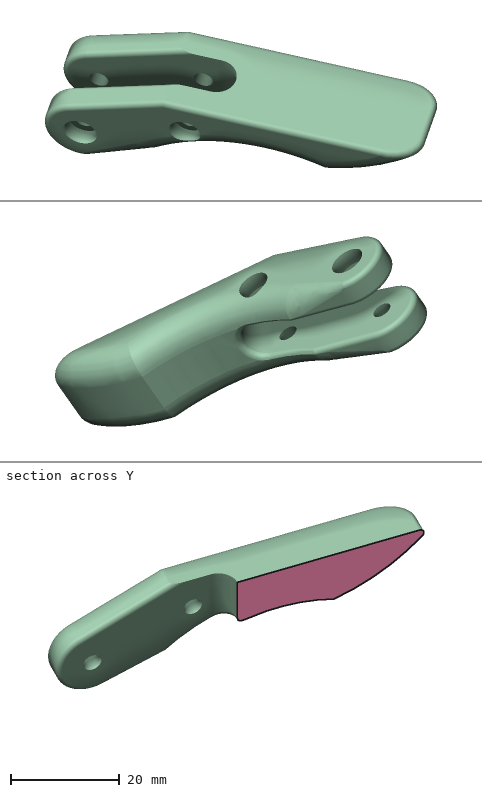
import math

import cadquery as cq

width = 18.0
pivot_radius = 7.0
top_height = 14.0
top_corner_x = 15.7

underside_angle = math.radians(17.5)
hollow_start_x = 14.8
hollow_crown = (35.3, 4.37)
heel = (46.55, 2.4)
bulge_middle = (55.8, 5.95)
sharp_tip_x = 65.83

slot_width = 7.5
slot_end_x = 27.3

edge_radius = 1.0
grip_radius = 5.0
taper_lead = 1.4
cutter_margin = 1.0
cutter_overrun = 4.0

pin_hole_diameter = 3.6
counterbore_depth = 3.0
pin_holes = [((0.0, 0.0), 6.4), ((20.0, 7.0), 6.0)]

half_width = width / 2
tolerance = 1e-3
top_corner = (top_corner_x, top_height)
tip = (sharp_tip_x, top_height)


def round_point(angle):
    """Point on the pivot round at an angle from +X."""
    return (pivot_radius * math.cos(angle), pivot_radius * math.sin(angle))


corner_angle = math.atan2(top_height, top_corner_x)
corner_distance = math.hypot(top_corner_x, top_height)
slope_start = round_point(corner_angle + math.acos(pivot_radius / corner_distance))

underside_start = round_point(underside_angle - math.pi / 2)
hollow_start_z = underside_start[1] + (hollow_start_x - underside_start[0]) * math.tan(underside_angle)
hollow_start = (hollow_start_x, hollow_start_z)


def circle_centre(a, b, c):
    """Centre of the circle through three points."""
    bx = b[0] - a[0]
    bz = b[1] - a[1]
    cx = c[0] - a[0]
    cz = c[1] - a[1]
    cross = 2 * (bx * cz - bz * cx)
    b_square = bx**2 + bz**2
    c_square = cx**2 + cz**2
    return (
        a[0] + (cz * b_square - bz * c_square) / cross,
        a[1] + (bx * c_square - cx * b_square) / cross,
    )


def lever_blank():
    """Side profile extruded over the full width, with sharp edges."""
    profile = (
        cq.Workplane("XZ", origin=(0, half_width, 0))
        .moveTo(*slope_start)
        .lineTo(*top_corner)
        .lineTo(*tip)
        .threePointArc(bulge_middle, heel)
        .threePointArc(hollow_crown, hollow_start)
        .lineTo(*underside_start)
        .threePointArc((-pivot_radius, 0), slope_start)
        .close()
    )
    return profile.extrude(width)


def corner_section(point, travel_angle, radius):
    """Waste outside a rounded +Y edge, square to an edge that runs at travel_angle with material on its left.

    Local x is depth into the material and local y is along +Y.
    """
    depth_direction = (-math.sin(travel_angle), 0, math.cos(travel_angle))
    normal = (-math.cos(travel_angle), 0, -math.sin(travel_angle))
    plane = cq.Plane(origin=(point[0], half_width, point[1]), xDir=depth_direction, normal=normal)
    arc_middle = radius * (1 - math.sqrt(0.5))
    return (
        cq.Workplane(plane)
        .moveTo(radius, 0)
        .threePointArc((arc_middle, -arc_middle), (0, -radius))
        .lineTo(-cutter_margin, -radius)
        .lineTo(-cutter_margin, cutter_margin)
        .lineTo(radius, cutter_margin)
        .close()
    )


def straight_cutter(start, end, start_radius, end_radius):
    """Waste along a straight edge whose rounding changes evenly from one end to the other."""
    travel_angle = math.atan2(end[1] - start[1], end[0] - start[0])
    first = corner_section(start, travel_angle, start_radius).wire().val()
    last = corner_section(end, travel_angle, end_radius).wire().val()
    return cq.Workplane(cq.Solid.makeLoft([first, last], True))


def arc_cutter(start, end, centre, radius, anticlockwise, overrun=0.0):
    """Waste along an arc edge, carried past both ends by an overrun length."""
    arc_radius = math.dist(start, centre)
    turn = 1 if anticlockwise else -1
    start_angle = math.atan2(start[1] - centre[1], start[0] - centre[0])
    end_angle = math.atan2(end[1] - centre[1], end[0] - centre[0])
    swept = turn * (end_angle - start_angle) % math.tau + 2 * overrun / arc_radius
    first_angle = start_angle - turn * overrun / arc_radius
    first_point = (
        centre[0] + arc_radius * math.cos(first_angle),
        centre[1] + arc_radius * math.sin(first_angle),
    )
    section = corner_section(first_point, first_angle + turn * math.pi / 2, radius).wire().val()
    axis_start = cq.Vector(centre[0], 0, centre[1])
    axis_end = axis_start - cq.Vector(0, turn, 0)
    return cq.Workplane(cq.Solid.revolve(section, [], math.degrees(swept), axis_start, axis_end))


def along(start, end, distance):
    """Point on the line from start to end, at a distance from start."""
    share = distance / math.dist(start, end)
    return (start[0] + share * (end[0] - start[0]), start[1] + share * (end[1] - start[1]))


def cut_both_sides(body, cutter):
    """Cut the +Y edge and its mirror image."""
    return body.cut(cutter).cut(cutter.mirror("XZ"))


def round_grip_edges(body):
    """Large rounding along the finger arcs, tapering off towards the pivot round."""
    hollow_centre = circle_centre(hollow_start, hollow_crown, heel)
    bulge_centre = circle_centre(heel, bulge_middle, tip)
    hollow_cutter = arc_cutter(hollow_start, heel, hollow_centre, grip_radius, False, cutter_overrun)
    bulge_cutter = arc_cutter(heel, tip, bulge_centre, grip_radius, True, cutter_overrun)
    body = cut_both_sides(body, hollow_cutter)
    body = cut_both_sides(body, bulge_cutter)

    taper_start = along(underside_start, hollow_start, -taper_lead)
    run_length = math.dist(taper_start, hollow_start)
    taper_end = along(taper_start, hollow_start, run_length + cutter_overrun)
    growth = (grip_radius - edge_radius) / run_length
    end_radius = grip_radius + growth * cutter_overrun
    return cut_both_sides(body, straight_cutter(taper_start, taper_end, edge_radius, end_radius))


def round_top_edges(body):
    """Small rounding along the sides of the flat top and around the tip."""
    top_edges = cq.selectors.BoxSelector(
        (top_corner_x + tolerance, -width, top_height - tolerance),
        (sharp_tip_x + tolerance, width, top_height + tolerance),
    )
    return body.edges(top_edges).fillet(edge_radius)


def round_pivot_edges(body):
    """Small rounding on the outer edges of the upper slope and the pivot round."""
    slope_end = along(slope_start, top_corner, math.dist(slope_start, top_corner) + cutter_margin)
    slope_cutter = straight_cutter(slope_end, slope_start, edge_radius, edge_radius)
    body = cut_both_sides(body, slope_cutter)
    return cut_both_sides(body, arc_cutter(slope_start, underside_start, (0, 0), edge_radius, True))


def slot_waste(blank):
    """Slot with a round end, plus the rounding of the arms' inner edges."""
    slot_radius = slot_width / 2
    slot_centre_x = slot_end_x - slot_radius
    start_x = -pivot_radius - cutter_margin
    bottom_z = -pivot_radius - cutter_margin
    slot = (
        cq.Workplane("XY", origin=(0, 0, bottom_z))
        .moveTo(start_x, -slot_radius)
        .lineTo(slot_centre_x, -slot_radius)
        .threePointArc((slot_end_x, 0), (slot_centre_x, slot_radius))
        .lineTo(start_x, slot_radius)
        .close()
        .extrude(top_height + cutter_margin - bottom_z)
    )
    near_slot = cq.selectors.BoxSelector(
        (start_x, -slot_radius - tolerance, bottom_z),
        (slot_end_x + tolerance, slot_radius + tolerance, top_height - tolerance),
    )
    slotted = blank.cut(slot)
    inner_edges = slotted.edges(near_slot).edges("not |Z")
    return blank.cut(inner_edges.fillet(edge_radius))


def drill_pin_holes(body):
    """Through holes with a counterbore on each outer side."""
    for (x, z), counterbore_diameter in pin_holes:
        outer_plane = cq.Workplane("XZ", origin=(x, half_width, z))
        body = body.cut(outer_plane.circle(pin_hole_diameter / 2).extrude(width))
        counterbore = outer_plane.circle(counterbore_diameter / 2).extrude(counterbore_depth)
        body = cut_both_sides(body, counterbore)
    return body


blank = lever_blank()
lever = round_grip_edges(blank)
lever = round_top_edges(lever)
lever = round_pivot_edges(lever)
lever = lever.cut(slot_waste(blank))
result = drill_pin_holes(lever)